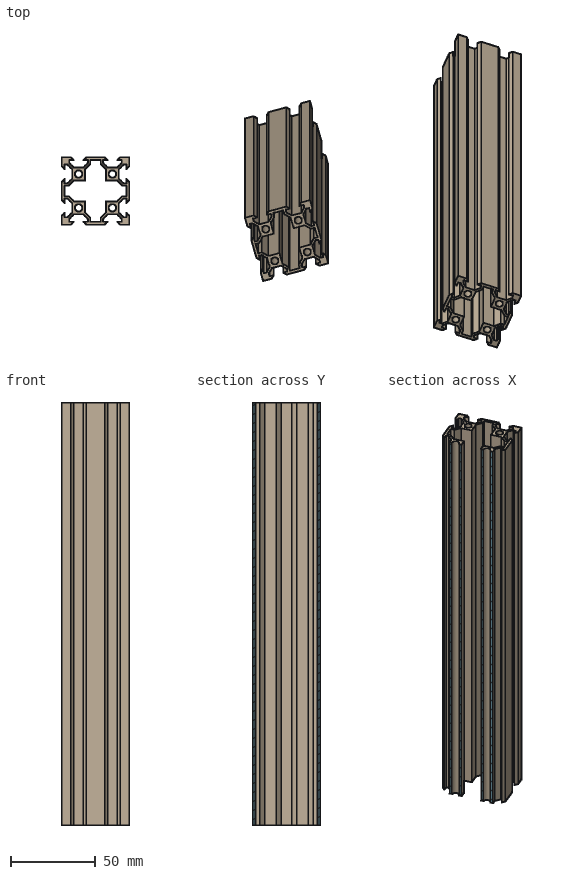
import cadquery as cq
import math

width = 40.0
length = 250.0
slot_opening = 9.2
slot_inner_width = 11.0
lip_thickness = 1.8
core_side = 7.8
hole_diameter = 4.2
web_thickness = 1.5
cavity_arm_width = 6.0

half_width = width / 2
pitch = width / 2
core_offset = pitch / 2
core_inner = core_offset - core_side / 2
core_outer = core_offset + core_side / 2
web_span = web_thickness * math.sqrt(2)
half_floor = (core_side - web_span) / 2


def make_slot():
    """One V-slot, opening on the +Y face and centred on the right-hand core."""
    half_opening = slot_opening / 2
    half_throat = half_opening - lip_thickness
    half_inner = slot_inner_width / 2
    flank_top = core_outer + half_inner - half_floor
    right_side = [
        (half_opening, half_width),
        (half_throat, half_width - lip_thickness),
        (half_inner, half_width - lip_thickness),
        (half_inner, flank_top),
        (half_floor, core_outer),
    ]
    left_side = [(-x, y) for x, y in reversed(right_side)]
    outline = cq.Workplane("XY").polyline(right_side + left_side).close()
    return outline.extrude(length).translate((core_offset, 0, 0))


def make_cavity_arm():
    """Arm of the central cavity that reaches from the axis toward the +Y face."""
    half_arm = cavity_arm_width / 2
    web_face_sum = core_offset - half_floor + core_outer - web_span
    right_side = [
        (half_arm, half_width - lip_thickness),
        (half_arm, web_face_sum - half_arm),
        (core_inner, web_face_sum - core_inner),
        (core_inner, 0),
    ]
    left_side = [(-x, y) for x, y in reversed(right_side)]
    return cq.Workplane("XY").polyline(right_side + left_side).close().extrude(length)


result = cq.Workplane("XY").rect(width, width).extrude(length)

slot = make_slot()
mirrored_slot = slot.mirror("YZ")
cavity_arm = make_cavity_arm()
for angle in (0, 90, 180, 270):
    for cutter in (slot, mirrored_slot, cavity_arm):
        result = result.cut(cutter.rotate((0, 0, 0), (0, 0, 1), angle))

core_holes = (
    cq.Workplane("XY")
    .rect(pitch, pitch, forConstruction=True)
    .vertices()
    .circle(hole_diameter / 2)
    .extrude(length)
)
result = result.cut(core_holes)